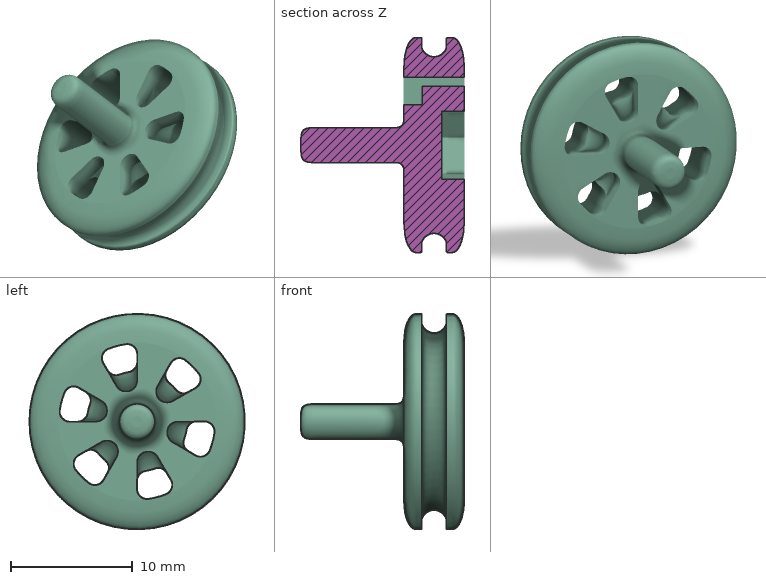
import cadquery as cq
import math

overall_length = 13.45
wheel_radius = 8.85
wheel_width = 4.98
shaft_length = overall_length - wheel_width

face_radius = 6.48
shoulder_width = 1.03
groove_width = 1.98
groove_depth = 1.58
groove_wall = 0.89
lip_fillet = 0.15

shaft_radius = 2.9 / 2
tip_flat_radius = 0.46
tip_round = shaft_radius - tip_flat_radius
root_fillet = 0.76
blend_tightness = 0.22

window_count = 6
window_sweep = 30.0
first_window_angle = 45.0
window_outer_radius = 6.41
apex_round = 0.9
outer_corner_round = 0.85
window_depth = 1.5
opening_inner_radius = 4.13
opening_round = 0.81

hex_corner_radius = 3.13
hex_angle = 18.4
socket_depth = 1.85


def axial_plane(x):
    """Plane across the axis at x, facing -X, with local Y along +Z."""
    return cq.Workplane(cq.Plane(origin=(x, 0, 0), xDir=(0, -1, 0), normal=(-1, 0, 0)))


def make_body():
    """Revolve the wheel, the blended shaft root and the rounded tip together."""
    middle = wheel_width / 2
    groove_start = middle - groove_width / 2
    groove_end = middle + groove_width / 2
    wall_radius = wheel_radius - groove_wall
    lip_radius = wheel_radius - lip_fillet
    shoulder_height = wheel_radius - face_radius
    tip_gap = tip_round * blend_tightness
    root_gap = root_fillet * blend_tightness
    profile = (
        cq.Workplane("XY")
        .moveTo(-shaft_length, 0)
        .lineTo(-shaft_length, tip_flat_radius)
        .spline(
            [
                (-shaft_length + tip_gap, shaft_radius - tip_gap),
                (-shaft_length + tip_round, shaft_radius),
            ],
            tangents=[(0, 1), (1, 0)],
            includeCurrent=True,
        )
        .lineTo(-root_fillet, shaft_radius)
        .spline(
            [(-root_gap, shaft_radius + root_gap), (0, shaft_radius + root_fillet)],
            tangents=[(1, 0), (0, 1)],
            includeCurrent=True,
        )
        .lineTo(0, face_radius)
        .ellipseArc(shoulder_width, shoulder_height, 90, 180, sense=-1, startAtCurrent=True)
        .lineTo(groove_start - lip_fillet, wheel_radius)
        .radiusArc((groove_start, lip_radius), lip_fillet)
        .lineTo(groove_start, wall_radius)
        .threePointArc((middle, wheel_radius - groove_depth), (groove_end, wall_radius))
        .lineTo(groove_end, lip_radius)
        .radiusArc((groove_end + lip_fillet, wheel_radius), lip_fillet)
        .lineTo(wheel_width - shoulder_width, wheel_radius)
        .ellipseArc(shoulder_width, shoulder_height, 0, 90, sense=-1, startAtCurrent=True)
        .lineTo(wheel_width, 0)
        .close()
    )
    return profile.revolve(360, (0, 0, 0), (1, 0, 0))


def make_wedge(depth):
    """Wedge with its apex on the axis, reaching from X = 0 to X = depth."""
    half_angle = math.radians(window_sweep / 2)
    across = window_outer_radius * math.sin(half_angle)
    along = window_outer_radius * math.cos(half_angle)
    return (
        axial_plane(0)
        .lineTo(along, -across)
        .threePointArc((window_outer_radius, 0), (along, across))
        .close()
        .extrude(-depth)
    )


def make_window():
    """Stepped window: a rounded recess over a shorter opening through the wheel."""
    recess = make_wedge(window_depth)
    recess = recess.edges("|X").edges(">Y").fillet(apex_round)
    recess = recess.edges("|X").edges("<Y").fillet(outer_corner_round)
    hub = axial_plane(0).circle(opening_inner_radius).extrude(-wheel_width)
    opening = make_wedge(wheel_width).cut(hub).edges("|X").fillet(opening_round)
    return recess.union(opening)


def make_socket():
    """Hexagonal prism sunk into the far face."""
    return (
        axial_plane(wheel_width)
        .polygon(6, 2 * hex_corner_radius)
        .extrude(socket_depth)
        .rotate((0, 0, 0), (-1, 0, 0), hex_angle)
    )


result = make_body().cut(make_socket())
window = make_window()
for index in range(window_count):
    angle = first_window_angle + index * 360 / window_count
    result = result.cut(window.rotate((0, 0, 0), (-1, 0, 0), angle))